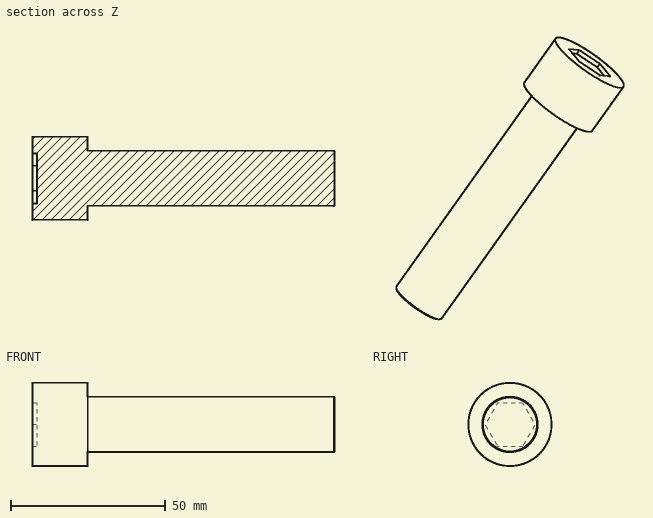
import cadquery as cq
import math

total_length = 98.0
shank_diameter = 18.0
head_diameter = 27.0
head_length = 17.9
tip_chamfer = 0.3
socket_across_flats = 14.0
socket_depth = 1.5

head_face_x = -total_length / 2
socket_across_corners = socket_across_flats / math.cos(math.pi / 6)


def cylinder_along_x(diameter, length):
    """Cylinder starting at the outer head face and running toward +X."""
    return cq.Workplane("YZ", origin=(head_face_x, 0, 0)).circle(diameter / 2).extrude(length)


shank = cylinder_along_x(shank_diameter, total_length).faces(">X").chamfer(tip_chamfer)

head = cylinder_along_x(head_diameter, head_length)

socket = (
    cq.Workplane("YZ", origin=(head_face_x, 0, 0))
    .polygon(6, socket_across_corners)
    .extrude(socket_depth)
)

result = head.union(shank).cut(socket)